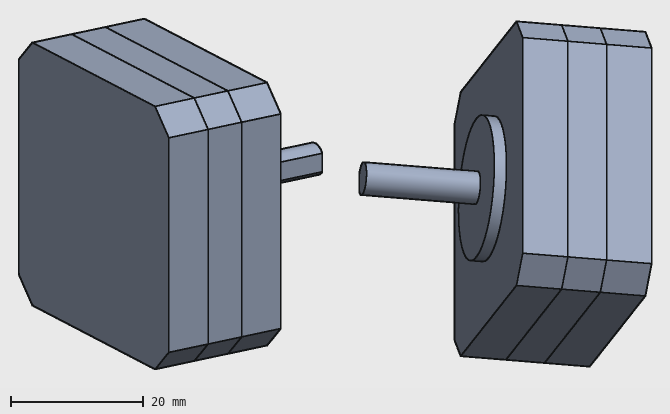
import cadquery as cq

body_width = 42.0
corner_cut = 3.85
cap_depth = 7.0
stator_depth = 6.0
body_depth = 2 * cap_depth + stator_depth

boss_diameter = 22.0
boss_height = 1.9

shaft_diameter = 5.0
shaft_flat_offset = 2.0
overall_depth = 39.6
boss_face_y = body_depth + boss_height
shaft_length = overall_depth - boss_face_y


def plane_at(y):
    """Plane across the motor axis at the given Y, facing +Y."""
    return cq.Workplane(cq.Plane(origin=(0, y, 0), xDir=(1, 0, 0), normal=(0, 1, 0)))


def body_section(start_y, depth):
    """Square section with its four long corners cut off."""
    block = plane_at(start_y).rect(body_width, body_width).extrude(depth)
    return block.edges("|Y").chamfer(corner_cut)


def make_rear_cap():
    return body_section(0, cap_depth)


def make_stator():
    return body_section(cap_depth, stator_depth)


def make_front_cap():
    """Front section with the boss that surrounds the shaft."""
    cap = body_section(cap_depth + stator_depth, cap_depth)
    boss = plane_at(body_depth).circle(boss_diameter / 2).extrude(boss_height)
    return cap.union(boss)


def make_shaft():
    """Shaft standing on the boss, with a flat along its whole length."""
    rod = plane_at(boss_face_y).circle(shaft_diameter / 2).extrude(shaft_length)
    flat_cutter = (
        plane_at(boss_face_y)
        .center(shaft_flat_offset + shaft_diameter / 2, 0)
        .rect(shaft_diameter, shaft_diameter)
        .extrude(shaft_length)
    )
    return rod.cut(flat_cutter)


rear_cap = make_rear_cap()
stator = make_stator()
front_cap = make_front_cap()
shaft = make_shaft()

result = cq.Compound.makeCompound([rear_cap.val(), stator.val(), front_cap.val(), shaft.val()])